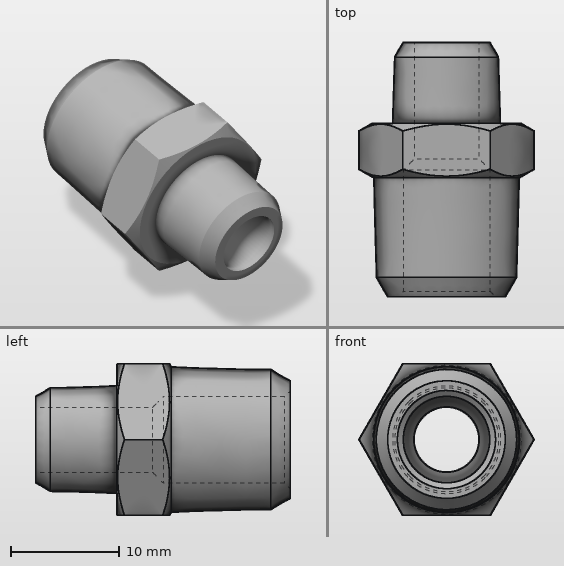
import cadquery as cq
import math

total_length = 23.5
wide_length = 11.0
hex_length = 5.0
wide_end_y = -total_length / 2
hex_front_y = wide_end_y + wide_length
hex_back_y = hex_front_y + hex_length
narrow_end_y = total_length / 2

across_flats = 14.0
across_corners = across_flats / math.cos(math.radians(30))
hex_chamfer_angle = 30.0
hex_front_face_diameter = 13.5
hex_back_face_diameter = 13.77

wide_root_diameter = 13.45
wide_tip_diameter = 12.95
wide_face_diameter = 10.85
wide_chamfer_length = 1.8
narrow_root_diameter = 9.96
narrow_tip_diameter = 9.59
narrow_face_diameter = 8.0
narrow_chamfer_length = 1.36

small_bore_diameter = 6.0
large_bore_diameter = 8.0
large_bore_depth = 11.75
bore_cone_angle = 90.0
mouth_diameter = 9.07
mouth_chamfer_length = (mouth_diameter - large_bore_diameter) / 2


def revolve_about_y(diameters_and_places):
    """Solid of revolution through (diameter, y) pairs, closed along the Y axis."""
    outline = [(diameter / 2, y) for diameter, y in diameters_and_places]
    first_y = outline[0][1]
    last_y = outline[-1][1]
    points = [(0, first_y)] + outline + [(0, last_y)]
    return cq.Workplane("XY").polyline(points).close().revolve(360, (0, 0), (0, 1))


def chamfered_hexagon():
    slope = math.tan(math.radians(hex_chamfer_angle))
    front_chamfer = (across_corners - hex_front_face_diameter) / 2 * slope
    back_chamfer = (across_corners - hex_back_face_diameter) / 2 * slope
    prism = (
        cq.Workplane("XZ", origin=(0, hex_back_y, 0))
        .polygon(6, across_corners)
        .extrude(hex_length)
    )
    envelope = revolve_about_y([
        (hex_front_face_diameter, hex_front_y),
        (across_corners, hex_front_y + front_chamfer),
        (across_corners, hex_back_y - back_chamfer),
        (hex_back_face_diameter, hex_back_y),
    ])
    return prism.intersect(envelope)


def stub_ends():
    return revolve_about_y([
        (wide_face_diameter, wide_end_y),
        (wide_tip_diameter, wide_end_y + wide_chamfer_length),
        (wide_root_diameter, hex_front_y),
        (narrow_root_diameter, hex_back_y),
        (narrow_tip_diameter, narrow_end_y - narrow_chamfer_length),
        (narrow_face_diameter, narrow_end_y),
    ])


def stepped_bore():
    cone_start_y = wide_end_y + large_bore_depth
    bore_step = (large_bore_diameter - small_bore_diameter) / 2
    cone_length = bore_step / math.tan(math.radians(bore_cone_angle / 2))
    return revolve_about_y([
        (mouth_diameter, wide_end_y),
        (large_bore_diameter, wide_end_y + mouth_chamfer_length),
        (large_bore_diameter, cone_start_y),
        (small_bore_diameter, cone_start_y + cone_length),
        (small_bore_diameter, narrow_end_y),
    ])


result = stub_ends().union(chamfered_hexagon()).cut(stepped_bore())